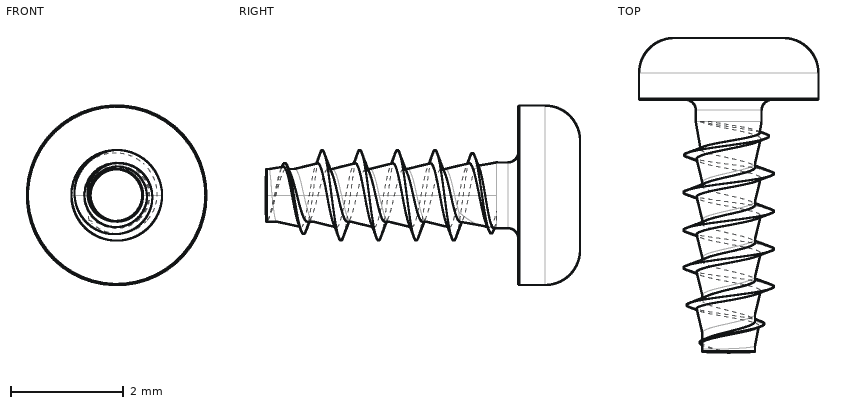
import cadquery as cq
import math

length = 5.6
head_top = length / 2
tip_end = -length / 2

head_radius = 3.2 / 2
head_height = 1.105
dome_radius = 0.63
rim_chamfer = 0.02

neck_radius = 0.59
neck_fillet = 0.18
neck_length = 0.385
core_radius = 0.47
tip_chamfer = 0.015
tip_point_height = 0.01

pitch = 0.669
crest_start = 1.39
crest_radius = 0.805
crest_start_radius = 0.645
foot_radius = 0.57
ramp_end_radius = 0.46
buried_radius = 0.39
flank_slope = 0.34
lead_in_turns = 1.1
fade_start = 4.75
foot_fade_start = 5.2
fade_end = 6.2
ramp_gap = 0.015
piece_turns = 0.5
piece_count = 13
points_per_piece = 8

head_bottom = head_top - head_height
neck_end = head_bottom - neck_length


def make_body():
    """Revolve the head, neck and core around Y."""
    dome_start = head_top - dome_radius
    dome_center_x = head_radius - dome_radius
    diagonal = math.sqrt(0.5)
    fillet_center_x = neck_radius + neck_fillet
    fillet_center_y = head_bottom - neck_fillet
    tip_rim = tip_end + tip_point_height
    return (
        cq.Workplane("XY")
        .moveTo(0, head_top)
        .lineTo(dome_center_x, head_top)
        .threePointArc(
            (dome_center_x + dome_radius * diagonal, dome_start + dome_radius * diagonal),
            (head_radius, dome_start),
        )
        .lineTo(head_radius, head_bottom + rim_chamfer)
        .lineTo(head_radius - rim_chamfer, head_bottom)
        .lineTo(fillet_center_x, head_bottom)
        .threePointArc(
            (fillet_center_x - neck_fillet * diagonal, fillet_center_y + neck_fillet * diagonal),
            (neck_radius, fillet_center_y),
        )
        .lineTo(neck_radius, neck_end)
        .lineTo(core_radius, neck_end - pitch)
        .lineTo(core_radius, tip_rim + tip_chamfer)
        .lineTo(core_radius - tip_chamfer, tip_rim)
        .lineTo(0, tip_end)
        .close()
        .revolve(360, (0, 0, 0), (0, 1, 0))
    )


def blend(value, start, end, first, last):
    """Interpolate from first to last as value runs from start to end, held outside."""
    share = min(max((value - start) / (end - start), 0), 1)
    return first + share * (last - first)


def thread_section(turn):
    """Return the (radius, axial offset toward the tip) corners of the section at a turn."""
    if turn < fade_start:
        crest = blend(turn, 0, lead_in_turns, crest_start_radius, crest_radius)
    else:
        crest = blend(turn, fade_start, fade_end, crest_radius, core_radius)
    foot = blend(turn, foot_fade_start, fade_end, foot_radius, ramp_end_radius)
    head_foot = ramp_end_radius - (foot_radius - foot) / 2
    ramp_length = pitch - (crest_radius - ramp_end_radius) * flank_slope - ramp_gap
    return [
        (buried_radius, -(crest - head_foot) * flank_slope),
        (head_foot, -(crest - head_foot) * flank_slope),
        (crest, 0),
        (foot, (crest - foot) * flank_slope),
        (head_foot, ramp_length),
        (buried_radius, ramp_length),
    ]


def thread_point(turn, corner):
    radius, offset = thread_section(turn)[corner]
    angle = 2 * math.pi * turn
    axial = crest_start - pitch * turn - offset
    return cq.Vector(-radius * math.cos(angle), axial, -radius * math.sin(angle))


def make_thread_piece(first_turn, last_turn):
    """Close ruled faces between the helical edges of the section into a solid."""
    step = (last_turn - first_turn) / points_per_piece
    turns = [first_turn + step * index for index in range(points_per_piece + 1)]
    corners = range(len(thread_section(first_turn)))
    edges = [
        cq.Edge.makeSpline([thread_point(turn, corner) for turn in turns], parameters=turns)
        for corner in corners
    ]
    faces = [cq.Face.makeRuledSurface(edges[corner - 1], edges[corner]) for corner in corners]
    for turn in (first_turn, last_turn):
        outline = [thread_point(turn, corner) for corner in corners]
        faces.append(cq.Face.makeFromWires(cq.Wire.makePolygon(outline, close=True)))
    return cq.Solid.makeSolid(cq.Shell.makeShell(faces))


def add_thread(body):
    """Add the thread piece by piece, kept between the end of the neck and the rim of the tip."""
    thread_length = neck_end - tip_end - tip_point_height
    bounds = (
        cq.Workplane("XZ", origin=(0, neck_end, 0))
        .circle(head_radius)
        .extrude(thread_length)
    )
    for index in range(piece_count):
        piece = make_thread_piece(index * piece_turns, (index + 1) * piece_turns)
        body = body.union(bounds.intersect(cq.Workplane(piece)))
    return body


result = add_thread(make_body())